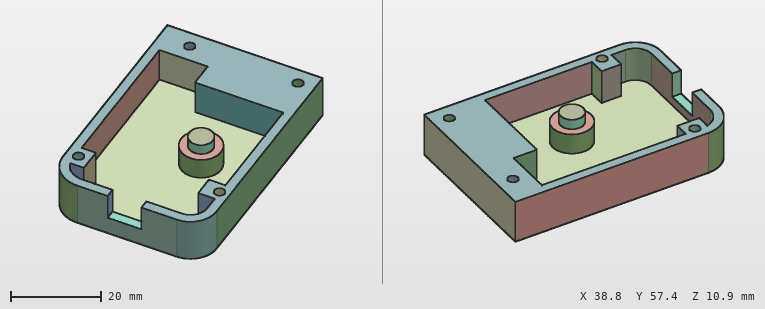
import cadquery as cq

width = 38.8
length = 57.4
height = 10.9
wall = 2.35
floor = 2.25
left_corner_radius = 7.35
right_corner_radius = 6.55

bay_back = 49.1
bay_right = 14.4
main_back = 43.0

left_lug_right = 5.9
left_lug_front = 6.05
left_lug_back = 11.75
right_lug_left = 32.3
right_lug_front = 10.15
right_lug_back = 15.3

screw_hole_diameter = 2.5
screw_hole_depth = height - floor
back_hole_y = 53.35
screw_hole_centers = [
    (7.7, back_hole_y),
    (34.75, back_hole_y),
    (3.05, 8.95),
    (36.35, 12.7),
]

notch_left = 15.0
notch_right = 23.4
notch_bottom = 4.55

post_center = (23.6, 28.3)
post_diameter = 9.95
post_shoulder = 7.45
pin_diameter = 5.9
pin_top = 10.05


def block(x_range, y_range, z_range):
    """Box spanning the given (low, high) ranges."""
    sizes = [high - low for low, high in (x_range, y_range, z_range)]
    corner = (x_range[0], y_range[0], z_range[0])
    return cq.Workplane("XY").box(*sizes, centered=False).translate(corner)


def post_step(diameter, top):
    """Cylinder rising from the pocket floor at the post centre."""
    base = cq.Workplane("XY", origin=(*post_center, floor))
    return base.circle(diameter / 2).extrude(top - floor)


def round_vertical_edge(body, x, y, radius):
    """Fillet the vertical edge of a body that stands at (x, y)."""
    nearest = cq.selectors.NearestToPointSelector((x, y, height / 2))
    return body.edges("|Z").edges(nearest).fillet(radius)


def outer_body():
    body = block((0, width), (0, length), (0, height))
    body = round_vertical_edge(body, 0, 0, left_corner_radius)
    return round_vertical_edge(body, width, 0, right_corner_radius)


def pocket():
    """Pocket whose front corners are concentric with the outer corners."""
    right = width - wall
    main = block((wall, right), (wall, main_back), (floor, height))
    main = round_vertical_edge(main, wall, wall, left_corner_radius - wall)
    main = round_vertical_edge(main, right, wall, right_corner_radius - wall)
    bay = block((wall, bay_right), (main_back, bay_back), (floor, height))
    return main.union(bay)


def lugs():
    left = block((wall / 2, left_lug_right), (left_lug_front, left_lug_back), (floor, height))
    right = block((right_lug_left, width - wall / 2), (right_lug_front, right_lug_back), (floor, height))
    return left.union(right)


result = outer_body().cut(pocket()).union(lugs())
result = result.union(post_step(post_diameter, post_shoulder)).union(post_step(pin_diameter, pin_top))
result = result.cut(block((notch_left, notch_right), (0, wall), (notch_bottom, height)))
screw_holes = (
    cq.Workplane("XY", origin=(0, 0, height))
    .pushPoints(screw_hole_centers)
    .circle(screw_hole_diameter / 2)
    .extrude(-screw_hole_depth)
)
result = result.cut(screw_holes)